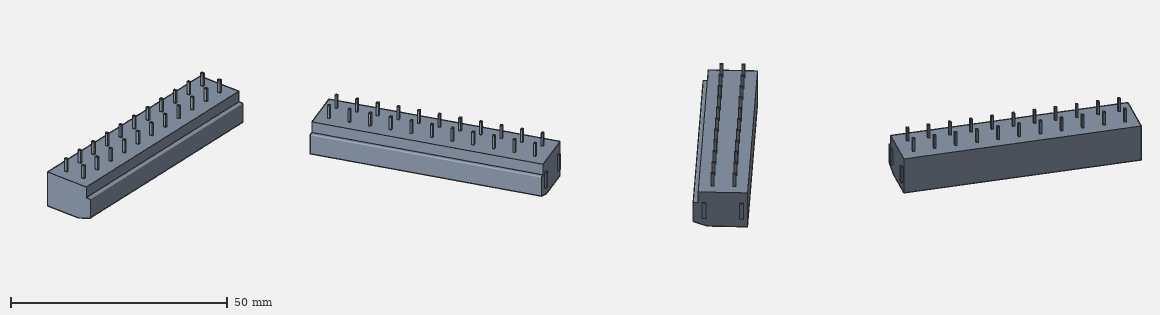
import cadquery as cq

total_width = 12.6
total_length = 57.4
total_height = 12.4

pin_height = 3.3
housing_height = total_height - pin_height
shoulder_width = 11.4
ledge_height = 6.25
bevel_start = 9.2
bevel_height = 1.15
ledge_rounding = 0.35

rib_depth = 0.4
rib_count = 2
rib_width = 1.0
rib_height = 4.0
rib_bottom = 2.3
first_rib_center = 1.4
rib_spacing = 8.65
housing_length = total_length - rib_depth

pin_rows = 11
pin_columns = 2
row_span = 50.8
row_pitch = row_span / (pin_rows - 1)
column_pitch = 5.05
first_column = 3.15
pin_width = 0.7
pin_thickness = 0.5
first_row = 3.05


def block(size, center_x, center_y, bottom):
    """Rectangular block standing on the given height."""
    base = cq.Workplane("XY").box(*size, centered=(True, True, False))
    return base.translate((center_x, center_y, bottom))


def housing():
    """Long stepped and bevelled housing, extruded along Y from y = 0."""
    profile = [
        (0, 0),
        (bevel_start, 0),
        (total_width, bevel_height),
        (total_width, ledge_height),
        (shoulder_width, ledge_height),
        (shoulder_width, housing_height),
        (0, housing_height),
    ]
    body = cq.Workplane("XZ").polyline(profile).close().extrude(-housing_length)
    return body.edges("|Y and >X").fillet(ledge_rounding)


result = housing()

for index in range(rib_count):
    rib_x = first_rib_center + index * rib_spacing
    rib_y = housing_length + rib_depth / 2
    result = result.union(block((rib_width, rib_depth, rib_height), rib_x, rib_y, rib_bottom))

for column in range(pin_columns):
    for row in range(pin_rows):
        pin_x = first_column + column * column_pitch
        pin_y = first_row + row * row_pitch
        result = result.union(block((pin_width, pin_thickness, pin_height), pin_x, pin_y, housing_height))

result = result.translate((-total_width / 2, -total_length / 2, -total_height / 2))